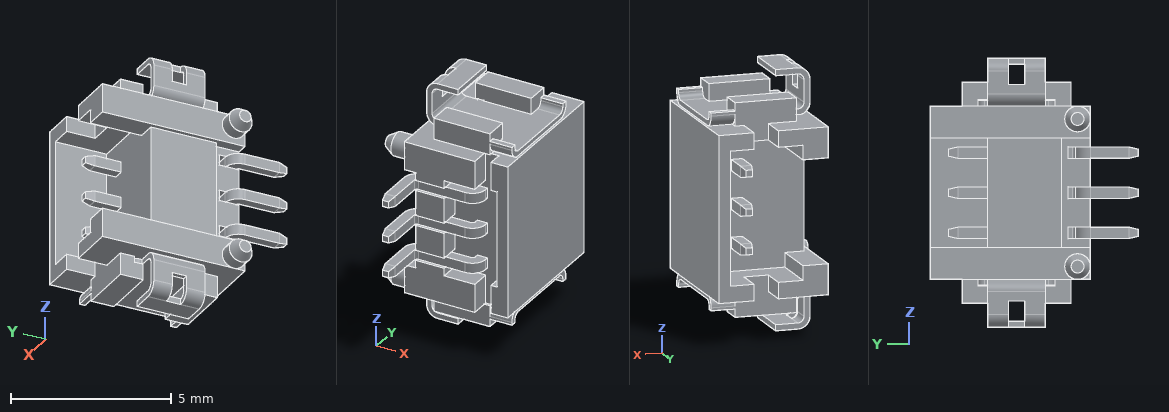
import cadquery as cq


BODY_HEIGHT = 3.6
BODY_LENGTH = 5.0
BODY_HALF_WIDTH = 2.7
INNER_HALF_WIDTH = 1.7
WALL_SLOT_START_X = 1.64
WALL_SLOT_END_X = 2.44
LATCH_START_Y = 0.6
LATCH_END_Y = 4.0
LATCH_MID_Y = (LATCH_START_Y + LATCH_END_Y) / 2

FRONT_GAP_START_X = 2.53
FRONT_GAP_END_X = 3.0
FLANGE_FRONT_Y = 0.2
FLANGE_INNER_X = 3.21
FRONT_RECESS_DEPTH = 0.69
PIN_RECESS_X = 1.43

BLOCK_FLOOR_X = 0.2
BLOCK_START_Y = 0.9
BLOCK_END_Y = 3.2
FRONT_FLOOR_X = 0.41
CAVITY_HALF_WIDTH = 2.17
CAVITY_START_X = 0.83

SIDE_BLOCK_START_X = 0.72
SIDE_BLOCK_END_X = 2.73
SIDE_BLOCK_HEIGHT = 0.75
CLIP_SLOT_HEIGHT = 0.2
CLIP_SLOT_DEPTH = 0.3

SHEET = 0.2
CLIP_WIDTH = 1.8
CLIP_TOP_Z = 4.2
CLIP_BASE_Z = 2.68
CLIP_TIP_X = 1.13
CLIP_END_X = 3.52
CLIP_BEND = 0.4
CLIP_WINDOW_WIDTH = 0.5
CLIP_WINDOW_DEPTH = 0.82
CLIP_SHOULDER_WIDTH = 2.4
CLIP_SHOULDER_X = 0.8
RAIL_BEND = 0.2
RAIL_TOP_Z = CLIP_BASE_Z + 0.5

PIN_SIZE = 0.36
PIN_PITCH = 1.25
PIN_COUNT = 3
PIN_TIP_SIZE = 0.22
PIN_TAPER = 0.3
PIN_FRONT_Y = -1.5
PIN_BACK_Y = 4.42
PIN_RISER_Y = 0.1
PIN_TOP_X = 2.59
PIN_INNER_BEND = 0.1
PIN_OUTER_BEND = PIN_INNER_BEND + PIN_SIZE

PEG_LENGTH = 0.8
PEG_CONE_LENGTH = 0.32
PEG_RADIUS = 0.4
PEG_TIP_RADIUS = 0.2
PEG_Y = 0.4
PEG_Z = BODY_HALF_WIDTH - PEG_RADIUS

PIN_POSITIONS = [(i - (PIN_COUNT - 1) / 2) * PIN_PITCH for i in range(PIN_COUNT)]


def box(x_range, y_range, z_range):
    """Box spanning the given (low, high) ranges."""
    low, high = zip(x_range, y_range, z_range)
    sizes = [b - a for a, b in zip(low, high)]
    return cq.Workplane("XY").box(*sizes, centered=False).translate(low)


def centered_range(middle, width):
    return (middle - width / 2, middle + width / 2)


def both_sides(shape):
    """Join a shape with its mirror image about Z = 0."""
    return shape.union(shape.mirror("XY"))


def make_housing():
    full_width = (-BODY_HALF_WIDTH, BODY_HALF_WIDTH)
    inner_width = (-INNER_HALF_WIDTH, INNER_HALF_WIDTH)
    housing = box((0, BODY_HEIGHT), (0, BODY_LENGTH), full_width)

    cuts = [
        box((FRONT_GAP_START_X, FRONT_GAP_END_X), (0, FRONT_RECESS_DEPTH), full_width),
        box((FRONT_GAP_END_X, BODY_HEIGHT), (0, FLANGE_FRONT_Y), full_width),
        box((PIN_RECESS_X, FLANGE_INNER_X), (0, FRONT_RECESS_DEPTH), inner_width),
    ]
    cuts += [
        box((0, FRONT_FLOOR_X), (0, BLOCK_START_Y), inner_width),
        box((0, BLOCK_FLOOR_X), (BLOCK_START_Y, BLOCK_END_Y), inner_width),
    ]
    cuts += [
        box(
            (CAVITY_START_X, FLANGE_INNER_X),
            (BLOCK_END_Y, BODY_LENGTH),
            (-CAVITY_HALF_WIDTH, CAVITY_HALF_WIDTH),
        ),
        box((0, CAVITY_START_X), (BLOCK_END_Y, BODY_LENGTH), inner_width),
        box((WALL_SLOT_START_X, WALL_SLOT_END_X), (LATCH_END_Y, BODY_LENGTH), full_width),
    ]
    cuts += [
        box((FRONT_FLOOR_X, PIN_RECESS_X), (0, FRONT_RECESS_DEPTH), centered_range(z, PIN_SIZE))
        for z in PIN_POSITIONS
    ]
    for cut in cuts:
        housing = housing.cut(cut)
    return housing


def make_side_blocks():
    x_range = (SIDE_BLOCK_START_X, SIDE_BLOCK_END_X)
    z_range = (BODY_HALF_WIDTH, BODY_HALF_WIDTH + SIDE_BLOCK_HEIGHT)
    blocks = box(x_range, (LATCH_START_Y, LATCH_END_Y), z_range)
    blocks = blocks.cut(box(x_range, centered_range(LATCH_MID_Y, CLIP_WIDTH), z_range))
    clip_slot = box(
        (SIDE_BLOCK_START_X, SIDE_BLOCK_START_X + CLIP_SLOT_DEPTH),
        centered_range(LATCH_MID_Y, CLIP_SHOULDER_WIDTH),
        (BODY_HALF_WIDTH, BODY_HALF_WIDTH + CLIP_SLOT_HEIGHT),
    )
    return both_sides(blocks.cut(clip_slot))


def bent_leg():
    """U-bent sheet: base on the housing, upright at the board face, and upper leg."""
    start_y, end_y = centered_range(LATCH_MID_Y, CLIP_WIDTH)
    z_range = (CLIP_BASE_Z, CLIP_TOP_Z)
    leg = box((0, CLIP_END_X), (start_y, end_y), z_range).edges("|Y and <X").fillet(CLIP_BEND)
    inside = box(
        (SHEET, CLIP_END_X),
        (start_y, end_y),
        (CLIP_BASE_Z + SHEET, CLIP_TOP_Z - SHEET),
    )
    inside = inside.edges("|Y and <X").fillet(CLIP_BEND - SHEET)
    beyond_tip = box((CLIP_TIP_X, CLIP_END_X), (start_y, end_y), (CLIP_TOP_Z - SHEET, CLIP_TOP_Z))
    window = box(
        (0, CLIP_BEND),
        centered_range(LATCH_MID_Y, CLIP_WINDOW_WIDTH),
        (CLIP_TOP_Z - CLIP_WINDOW_DEPTH, CLIP_TOP_Z),
    )
    return leg.cut(inside).cut(beyond_tip).cut(window)


def flared_plate():
    """Inner end of the clip: flat sheet whose two long edges curl up into rails."""
    outer_bend = RAIL_BEND + SHEET
    trough = box(
        (SIDE_BLOCK_END_X, CLIP_END_X),
        (LATCH_START_Y, LATCH_END_Y),
        (CLIP_BASE_Z, RAIL_TOP_Z),
    )
    trough = trough.edges("|X and <Z").fillet(outer_bend)
    hollow = box(
        (SIDE_BLOCK_END_X, CLIP_END_X),
        (LATCH_START_Y + SHEET, LATCH_END_Y - SHEET),
        (CLIP_BASE_Z + SHEET, RAIL_TOP_Z),
    )
    hollow = hollow.edges("|X and <Z").fillet(RAIL_BEND)
    return trough.cut(hollow)


def make_clips():
    shoulder = box(
        (CLIP_SHOULDER_X, SIDE_BLOCK_END_X),
        centered_range(LATCH_MID_Y, CLIP_SHOULDER_WIDTH),
        (CLIP_BASE_Z, CLIP_BASE_Z + SHEET),
    )
    shoulder = shoulder.edges("|Z and <X").fillet(SHEET)
    return both_sides(bent_leg().union(shoulder).union(flared_plate()))


def pin_tip(base_y, direction, middle_x):
    """Tapered end of a pin, pointing along Y in the given direction."""
    taper_plane = cq.Plane((middle_x, base_y, 0), xDir=(1, 0, 0), normal=(0, direction, 0))
    return (
        cq.Workplane(taper_plane)
        .rect(PIN_SIZE, PIN_SIZE)
        .workplane(offset=PIN_TAPER)
        .rect(PIN_TIP_SIZE, PIN_TIP_SIZE)
        .loft()
    )


def make_pin():
    """Pin at Z = 0: tail on the board, riser, and contact reaching into the cavity."""
    z_range = centered_range(0, PIN_SIZE)
    tail_y = PIN_FRONT_Y + PIN_TAPER
    contact_y = PIN_BACK_Y - PIN_TAPER
    contact_x = PIN_TOP_X - PIN_SIZE
    riser_back_y = PIN_RISER_Y + PIN_SIZE

    lower = box((0, PIN_TOP_X), (tail_y, riser_back_y), z_range)
    lower = lower.edges("|Z and <X and >Y").fillet(PIN_OUTER_BEND)
    above_tail = box((PIN_SIZE, PIN_TOP_X), (tail_y, PIN_RISER_Y), z_range)
    above_tail = above_tail.edges("|Z and <X and >Y").fillet(PIN_INNER_BEND)
    upper = box((contact_x - PIN_INNER_BEND, PIN_TOP_X), (PIN_RISER_Y, contact_y), z_range)
    below_contact = box((0, contact_x), (riser_back_y, contact_y), z_range)
    below_contact = below_contact.edges("|Z and >X and <Y").fillet(PIN_INNER_BEND)
    bar = lower.cut(above_tail).union(upper.cut(below_contact))
    bar = bar.edges(cq.selectors.NearestToPointSelector((PIN_TOP_X, PIN_RISER_Y, 0)))
    bar = bar.fillet(PIN_OUTER_BEND)

    tail_tip = pin_tip(tail_y, -1, PIN_SIZE / 2)
    contact_tip = pin_tip(contact_y, 1, PIN_TOP_X - PIN_SIZE / 2)
    return bar.union(tail_tip).union(contact_tip)


def make_pegs():
    profile = [
        (0, 0),
        (0, PEG_RADIUS),
        (PEG_CONE_LENGTH - PEG_LENGTH, PEG_RADIUS),
        (-PEG_LENGTH, PEG_TIP_RADIUS),
        (-PEG_LENGTH, 0),
    ]
    peg = cq.Workplane("XY").polyline(profile).close().revolve(360, (0, 0), (1, 0))
    return both_sides(peg.translate((0, PEG_Y, PEG_Z)))


result = make_housing().union(make_side_blocks()).union(make_clips()).union(make_pegs())
pin = make_pin()
for pin_z in PIN_POSITIONS:
    result = result.union(pin.translate((0, 0, pin_z)))